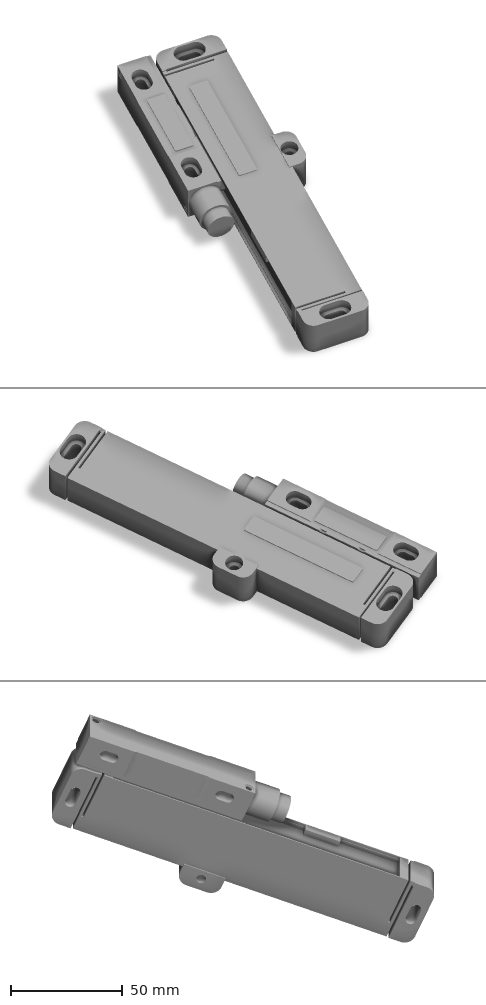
import cadquery as cq
import math

total_length = 175.0
full_height = 18.0
scale_width = 31.5
step_height = 0.5
body_height = full_height - 2 * step_height
seat_depth = 4.7
label_height = 0.5
label_corner_radius = 0.7

corner_radius = 5.0
slit_width = 1.0
outer_slit_x = 75.8
inner_slit_x = 73.5
outer_slit_bridge = 2.0
inner_slit_bridge = 7.4
end_slot_x = 82.2
end_slot_length = 10.7
end_slot_width = 4.9
end_seat_length = 14.9
end_seat_width = 8.5

tab_x = -12.6
tab_width = 20.1
tab_reach = 8.4
tab_overlap = 1.5
tab_hole_setback = 5.6
tab_hole_diameter = 4.4
tab_seat_diameter = 8.0

channel_length = 138.6
channel_depth = 3.0
channel_height = 15.0
mouth_depth = 1.2
mouth_height = 16.0
stop_x = 23.8
stop_length = 16.8
stop_height = 4.5

scale_label_x = -63.7
scale_label_length = 56.9
scale_label_y = -8.4
scale_label_width = 9.0

head_gap = 1.0
head_length = 80.0
head_width = 16.1
pad_length = 21.7
ramp_length = 2.0
ledge_width = 2.1
head_slot_spacing = 55.8
head_slot_setback = 9.3
head_slot_length = 8.5
head_slot_width = 4.9
head_seat_length = 12.0
head_seat_width = 8.0
head_label_setback = 3.2
head_label_width = 9.0
groove_spacing = 20.1
groove_radius = 2.3
groove_depth = 0.9
groove_length = 1.0
front_hole_inset = 3.0
front_hole_diameter = 3.2
front_hole_depth = 1.8
front_seat_diameter = 4.4
front_seat_depth = 0.4
drill_point_angle = 118.0

sleeve_diameter = 15.5
sleeve_length = 12.0
sleeve_setback = 7.9
cable_diameter = 13.0
cable_length = 6.0

blade_x = -35.2
blade_length = 52.5
blade_flat_length = 30.6
blade_height = 3.0
blade_flank_angle = 5.6
blade_insertion = 1.8
blade_blend_radius = 21.9

scale_front = -scale_width / 2
scale_back = scale_width / 2
head_back = scale_front - head_gap
head_front = head_back - head_width
head_left = -total_length / 2
head_right = head_left + head_length
head_middle = head_left + head_length / 2
top = full_height / 2
body_top = body_height / 2


def box(x0, x1, y0, y1, z0, z1):
    """Box between two opposite corners."""
    return cq.Workplane("XY").box(x1 - x0, y1 - y0, z1 - z0, centered=False).translate((x0, y0, z0))


def seated_slot(x, y, slot_length, slot_width, seat_length, seat_width, angle):
    """Cutter for a through slot with a wider recess at the top face."""
    slot = cq.Workplane("XY").slot2D(slot_length, slot_width, angle).extrude(full_height)
    seat = cq.Workplane("XY").slot2D(seat_length, seat_width, angle).extrude(seat_depth)
    cutter = slot.translate((0, 0, -top)).union(seat.translate((0, 0, top - seat_depth)))
    return cutter.translate((x, y, 0))


def label(x, y, length, width):
    """Thin plate with rounded corners on a lower top face, from its lowest X and Y."""
    plate = box(x, x + length, y, y + width, body_top, body_top + label_height)
    return plate.edges("|Z").fillet(label_corner_radius)


def end_block(side):
    """Raised block with two rounded outer corners; side is -1 or +1 along X."""
    inner_face = outer_slit_x + slit_width / 2
    block = box(inner_face, total_length / 2, scale_front, scale_back, -top, top)
    block = block.edges("|Z and >X").fillet(corner_radius)
    slot = seated_slot(end_slot_x, 0, end_slot_length, end_slot_width, end_seat_length, end_seat_width, 90)
    block = block.cut(slot)
    return block if side > 0 else block.mirror("YZ")


def slit_pair(side):
    """Cutters that free the flexure strip beside an end block."""
    outer = box(outer_slit_x, outer_slit_x + slit_width, scale_front + outer_slit_bridge, scale_back, -top, top)
    inner = box(inner_slit_x, inner_slit_x + slit_width, scale_front, scale_back - inner_slit_bridge, -top, top)
    pair = outer.union(inner)
    return pair if side > 0 else pair.mirror("YZ")


def mounting_tab():
    """Full-height lug with two rounded corners, and the Y place of its hole."""
    tab_end = scale_back + tab_reach
    tab = box(tab_x - tab_width / 2, tab_x + tab_width / 2, scale_back - tab_overlap, tab_end, -top, top)
    tab = tab.edges("|Z and >Y").fillet(corner_radius)
    return tab, tab_end - tab_hole_setback


def channel():
    """Stepped channel cutter, open to -Y, that leaves a stop block under the top lip."""
    half = channel_length / 2
    inner = box(-half, half, scale_front, scale_front + channel_depth, -channel_height / 2, channel_height / 2)
    mouth = box(-half, half, scale_front, scale_front + mouth_depth, -mouth_height / 2, mouth_height / 2)
    stop_end = stop_x + stop_length
    stop = box(stop_x, stop_end, scale_front, scale_back, body_top - stop_height, body_top)
    return inner.union(mouth).cut(stop)


def make_scale_unit():
    half_body = outer_slit_x + slit_width / 2
    body = box(-half_body, half_body, scale_front, scale_back, -body_top, body_top)
    for side in (-1, 1):
        body = body.union(end_block(side)).cut(slit_pair(side))
    tab, hole_y = mounting_tab()
    body = body.union(tab)
    tab_hole = cq.Workplane("XY", origin=(tab_x, hole_y, top))
    body = body.cut(tab_hole.circle(tab_hole_diameter / 2).extrude(-full_height))
    body = body.cut(tab_hole.circle(tab_seat_diameter / 2).extrude(-seat_depth))
    body = body.cut(channel())
    return body.union(label(scale_label_x, scale_label_y, scale_label_length, scale_label_width))


def head_relief():
    """Cutter for the lower middle of the head's top, with a concave ramp up to each raised pad."""
    pad_edge = head_length / 2 - pad_length
    floor_edge = pad_edge - ramp_length
    ramp_radius = (ramp_length**2 + step_height**2) / (2 * step_height)
    half_angle = math.atan2(step_height, ramp_length)
    ramp_mid_x = floor_edge + ramp_radius * math.sin(half_angle)
    ramp_mid_z = body_top + ramp_radius * (1 - math.cos(half_angle))
    return (
        cq.Workplane("XZ", origin=(head_middle, head_back, 0))
        .moveTo(-pad_edge, top)
        .threePointArc((-ramp_mid_x, ramp_mid_z), (-floor_edge, body_top))
        .lineTo(floor_edge, body_top)
        .threePointArc((ramp_mid_x, ramp_mid_z), (pad_edge, top))
        .close()
        .extrude(head_width)
    )


def front_hole(x, z):
    """Cutter for a blind hole with a shallow seat and a drill point, entering the front face."""
    hole_radius = front_hole_diameter / 2
    seat_radius = front_seat_diameter / 2
    point_depth = front_hole_depth + hole_radius / math.tan(math.radians(drill_point_angle / 2))
    profile = [
        (0, 0),
        (seat_radius, 0),
        (seat_radius, front_seat_depth),
        (hole_radius, front_seat_depth),
        (hole_radius, front_hole_depth),
        (0, point_depth),
    ]
    cutter = cq.Workplane("XY").polyline(profile).close().revolve(360, (0, 0, 0), (0, 1, 0))
    return cutter.translate((x, head_front, z))


def cable_outlet():
    """Sleeve and cable stub on the +X end of the head."""
    axis_y = head_back - sleeve_setback
    sleeve = cq.Workplane("YZ", origin=(head_right, axis_y, 0)).circle(sleeve_diameter / 2).extrude(sleeve_length)
    return sleeve.faces(">X").workplane().circle(cable_diameter / 2).extrude(cable_length)


def blade():
    """Flat blade, thickest in the middle, reaching from the head into the channel."""
    half_length = blade_length / 2
    flat_end = blade_flat_length / 2
    crest_z = blade_height / 2
    flank_angle = math.radians(blade_flank_angle)

    def blend_point(angle):
        drop = blade_blend_radius * (1 - math.cos(angle))
        return flat_end + blade_blend_radius * math.sin(angle), crest_z - drop

    middle_x, middle_z = blend_point(flank_angle / 2)
    blend_x, blend_z = blend_point(flank_angle)
    edge_z = blend_z - (half_length - blend_x) * math.tan(flank_angle)
    upper_half = (
        cq.Workplane("XZ", origin=(blade_x, head_back, 0))
        .moveTo(-half_length, 0)
        .lineTo(-half_length, edge_z)
        .lineTo(-blend_x, blend_z)
        .threePointArc((-middle_x, middle_z), (-flat_end, crest_z))
        .lineTo(flat_end, crest_z)
        .threePointArc((middle_x, middle_z), (blend_x, blend_z))
        .lineTo(half_length, edge_z)
        .lineTo(half_length, 0)
        .close()
        .extrude(-(head_gap + blade_insertion))
    )
    return upper_half.union(upper_half.mirror("XY"))


def make_reader_head():
    body = box(head_left, head_right, head_front, head_back, -top, top)

    ledge = box(head_left, head_right, head_back - ledge_width, head_back, body_top, top)
    relief = head_relief().union(ledge)
    body = body.cut(relief).cut(relief.mirror("XY"))

    groove_z = body_top - groove_depth + groove_radius
    for side in (-1, 1):
        slot_x = head_middle + side * head_slot_spacing / 2
        slot_y = head_back - head_slot_setback
        slot = seated_slot(slot_x, slot_y, head_slot_length, head_slot_width, head_seat_length, head_seat_width, 0)
        body = body.cut(slot)

        groove_x = head_middle + side * groove_spacing / 2
        groove = cq.Workplane("XZ", origin=(groove_x, head_back, groove_z)).circle(groove_radius)
        body = body.cut(groove.extrude(groove_length))

        hole_x = head_middle + side * (head_length / 2 - front_hole_inset)
        hole_z = -side * (top - front_hole_inset)
        body = body.cut(front_hole(hole_x, hole_z))

    label_inset = pad_length + ramp_length
    label_y = head_back - head_label_setback - head_label_width
    body = body.union(label(head_left + label_inset, label_y, head_length - 2 * label_inset, head_label_width))
    return body.union(cable_outlet()).union(blade())


scale_unit = make_scale_unit()
reader_head = make_reader_head()

result = cq.Compound.makeCompound([*scale_unit.solids().vals(), *reader_head.solids().vals()])